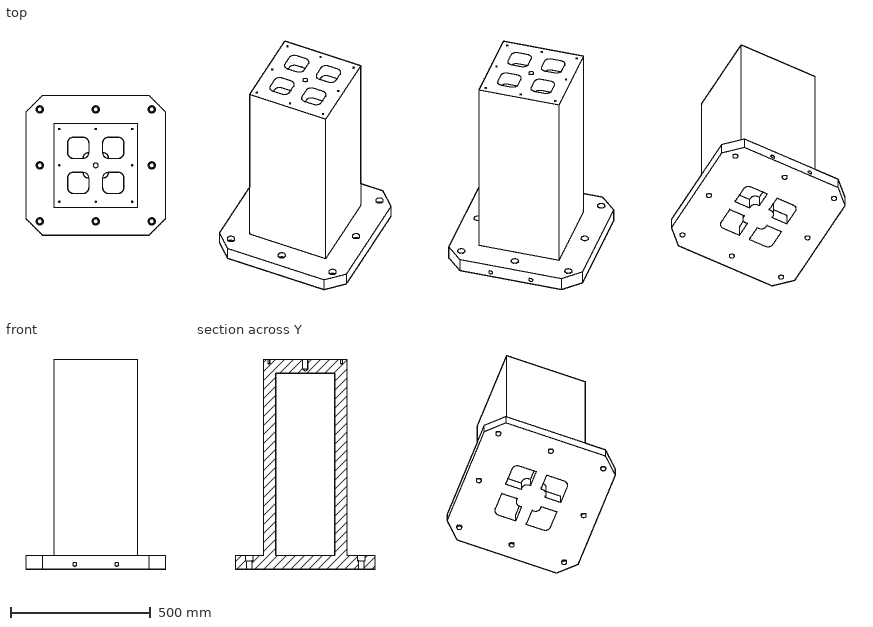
import cadquery as cq
import math

plate_side = 500.0
plate_thickness = 50.0
plate_corner_chamfer = 60.0

column_side = 300.0
total_height = 750.0
wall_thickness = 45.0
cap_thickness = 50.0
cavity_side = column_side - 2 * wall_thickness
cavity_top = total_height - cap_thickness

window_side = 75.0
window_gap = 50.0
window_pitch = window_side + window_gap
corner_radius = 20.0

plate_rib_width = 40.0
hub_side = 91.0
hub_corner_radius = 19.0

bolt_pitch = 200.0
bolt_hole_diameter = 18.0
bolt_head_diameter = 26.0
bolt_head_depth = 20.0

drill_point_angle = 118.0
pin_hole_pitch = 130.0
pin_hole_diameter = 5.0
pin_hole_depth = 15.0
center_hole_diameter = 17.5
center_hole_depth = 35.0
side_hole_spacing = 150.0
side_hole_height = 18.0
side_hole_diameter = 14.0
side_hole_depth = 30.0


def block(length, width, bottom, top):
    """Rectangular block centred on the Z axis."""
    return cq.Workplane("XY").workplane(offset=bottom).rect(length, width).extrude(top - bottom)


def rounded_block(side, radius, bottom, top):
    """Square block centred on the Z axis, with rounded upright edges."""
    return block(side, side, bottom, top).edges("|Z").fillet(radius)


def square_ring(pitch):
    """Corners and side midpoints of a square that reaches `pitch` from the centre."""
    steps = (-pitch, 0, pitch)
    return [(x, y) for x in steps for y in steps if (x, y) != (0, 0)]


def drilled_hole(mouth, outward, diameter, depth):
    """Blind hole running from its mouth against the outward direction, ending in a cone."""
    radius = diameter / 2
    point_depth = radius / math.tan(math.radians(drill_point_angle / 2))
    start = cq.Vector(*mouth)
    inward = -cq.Vector(*outward)
    bore = cq.Solid.makeCylinder(radius, depth, start, inward)
    point = cq.Solid.makeCone(radius, 0, point_depth, start + inward * depth, inward)
    return bore.fuse(point)


def base_plate():
    """Square plate with cut corners and counterbored mounting holes."""
    plate = block(plate_side, plate_side, 0, plate_thickness)
    plate = plate.edges("|Z").chamfer(plate_corner_chamfer)
    return (
        plate.faces(">Z")
        .workplane()
        .pushPoints(square_ring(bolt_pitch))
        .cboreHole(bolt_hole_diameter, bolt_head_diameter, bolt_head_depth)
    )


def cap_windows():
    """Four square prisms with rounded corners, one in each quadrant of the cap."""
    return (
        cq.Workplane("XY")
        .workplane(offset=cavity_top)
        .rarray(window_pitch, window_pitch, 2, 2)
        .rect(window_side, window_side)
        .extrude(cap_thickness)
        .edges("|Z")
        .fillet(corner_radius)
    )


def plate_cross():
    """Ribs and hub that span the lower end of the cavity."""
    rib_length = (cavity_side + column_side) / 2
    hub = rounded_block(hub_side, hub_corner_radius, 0, plate_thickness)
    rib_along_x = block(rib_length, plate_rib_width, 0, plate_thickness)
    rib_along_y = block(plate_rib_width, rib_length, 0, plate_thickness)
    return hub.union(rib_along_x).union(rib_along_y)


def blind_holes():
    """Centre hole and pin holes in the cap, and two holes in the -Y edge of the plate."""
    up = (0, 0, 1)
    front = (0, -1, 0)
    holes = [drilled_hole((0, 0, total_height), up, center_hole_diameter, center_hole_depth)]
    for x, y in square_ring(pin_hole_pitch):
        holes.append(drilled_hole((x, y, total_height), up, pin_hole_diameter, pin_hole_depth))
    for x in (-side_hole_spacing / 2, side_hole_spacing / 2):
        mouth = (x, -plate_side / 2, side_hole_height)
        holes.append(drilled_hole(mouth, front, side_hole_diameter, side_hole_depth))
    return holes


column = block(column_side, column_side, plate_thickness, total_height)
result = (
    base_plate()
    .union(column)
    .cut(rounded_block(cavity_side, corner_radius, 0, cavity_top))
    .union(plate_cross())
    .cut(cap_windows())
)
for hole in blind_holes():
    result = result.cut(cq.Workplane(hole))